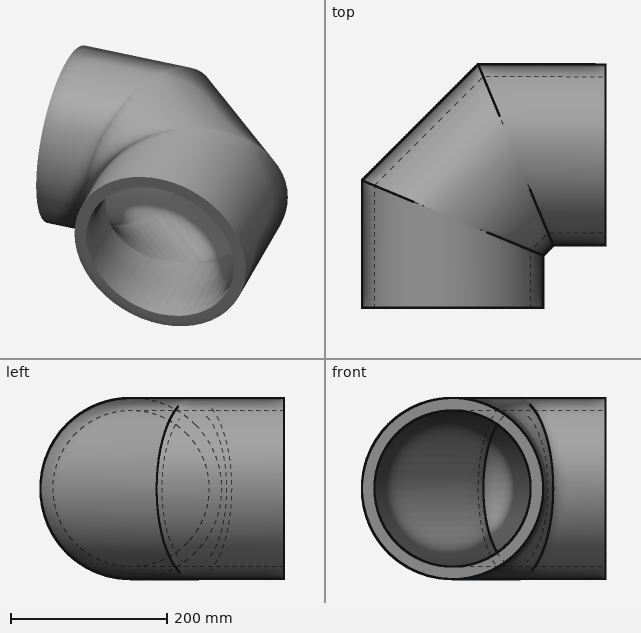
import cadquery as cq

overall_length = 312.0
outer_diameter = 232.0
inner_diameter = 200.0
leg_length = 115.0

outer_radius = outer_diameter / 2
middle_run = overall_length - outer_radius - leg_length

first_mitre = (0, leg_length)
second_mitre = (middle_run, leg_length + middle_run)
outlet_end = (middle_run + leg_length, leg_length + middle_run)


def mitred_rod(diameter):
    """Solid rod following the centreline with sharp mitred corners."""
    centreline = cq.Workplane("XY").polyline([(0, 0), first_mitre, second_mitre, outlet_end])
    return cq.Workplane("XZ").circle(diameter / 2).sweep(centreline, transition="right")


result = mitred_rod(outer_diameter).cut(mitred_rod(inner_diameter))